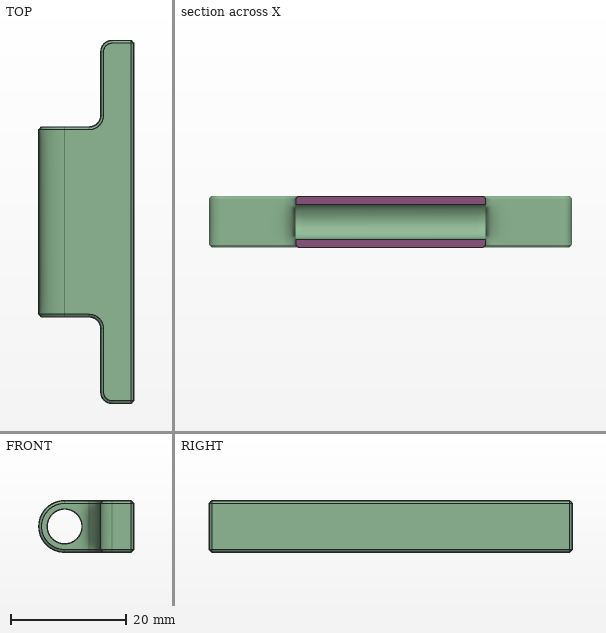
import cadquery as cq

height = 9.0
leaf_length = 63.0
leaf_thickness = 5.75
barrel_length = 33.0
total_width = 16.5
bore_diameter = 6.0
corner_radius = 2.0
edge_chamfer = 0.5

barrel_radius = height / 2
back_x = total_width - barrel_radius
leaf_front_x = back_x - leaf_thickness


def make_leaf():
    """Straight bar that carries the barrel."""
    leaf = cq.Workplane("XY").box(leaf_thickness, leaf_length, height)
    return leaf.translate((back_x - leaf_thickness / 2, 0, 0))


def make_barrel():
    """Round-nosed block that reaches from the pivot axis to the back of the leaf."""
    section = (
        cq.Workplane("XZ")
        .moveTo(back_x, -barrel_radius)
        .lineTo(0, -barrel_radius)
        .threePointArc((-barrel_radius, 0), (0, barrel_radius))
        .lineTo(back_x, barrel_radius)
        .close()
    )
    return section.extrude(barrel_length / 2, both=True)


def round_corners(body):
    """Round the leaf's front tips and blend the barrel ends into the leaf."""
    on_leaf_front = cq.selectors.BoxSelector(
        (leaf_front_x - edge_chamfer, -leaf_length, -height),
        (leaf_front_x + edge_chamfer, leaf_length, height),
    )
    return body.edges("|Z").edges(on_leaf_front).fillet(corner_radius)


def chamfer_outer_edges(body):
    """Bevel the top, bottom and back outlines and the round rims of the barrel ends.

    The lines where the round nose meets the flat faces are smooth, so they stay unbevelled.
    """
    nose_tangents = body.faces("<X").edges("|Y").vals()
    outlines = body.faces("<Z or >Z or >X").edges().vals()
    rims = body.faces("<X").edges("%CIRCLE").vals()
    bevelled = [
        edge for edge in outlines + rims
        if not any(edge.isSame(tangent) for tangent in nose_tangents)
    ]
    return body.newObject(bevelled).chamfer(edge_chamfer)


def cut_bore(body):
    """Drill the pivot bore through the full length of the barrel."""
    bore = cq.Workplane("XZ").circle(bore_diameter / 2).extrude(barrel_length / 2, both=True)
    return body.cut(bore)


body = make_leaf().union(make_barrel())
body = round_corners(body)
body = chamfer_outer_edges(body)
result = cut_bore(body)